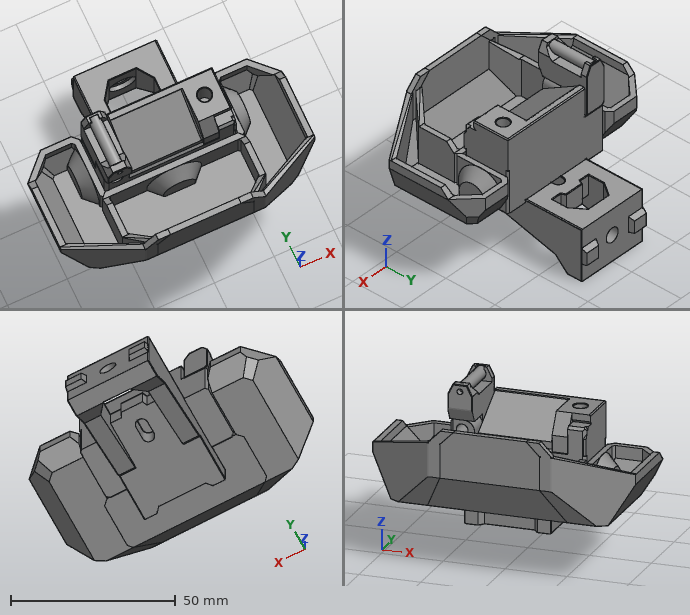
import cadquery as cq
import math

REACH = 200.0

HOUSING_HALF = 22.0
HOUSING_DEPTH = 18.0
HOUSING_BOTTOM = 18.8
SHOULDER_Z = 36.0
HOUSING_TOP = 47.2
TOWER_LEFT = -13.1
CORNER_CHAMFER = 1.1
BACK_CHAMFER = 0.8
TOP_CHAMFER = 0.4
PANEL_BACK = 2.3
TOWER_FRONT = 17.2
PANEL_LOW_Z = 38.2
PANEL_BEVEL = 0.5
PANEL_STEP = 0.4
POST_FRONT = 17.8
POST_LEFT = 11.0
POST_FLAT = 14.0
POST_SLOPE = math.radians(60)
CATCH_LEFT = 16.1
CATCH_TOP = 44.1
SEAM_CHAMFER = 0.9
SCREW_X = 16.3
SCREW_Y = -7.0
SCREW_D = 4.4
SCREW_DEPTH = 10.0
SCREW_CHAMFER = 0.25

LUG_BACK = 10.8
LUG_WIDTH = 8.0
LUG_HOLE_D = 3.8
LUG_ROUND = 3.3
LUG_CHAMFER = 1.0
HINGE_X = -HOUSING_HALF + LUG_WIDTH / 2
HINGE_Z = 38.8
LUG_TOP = 42.0
LATCH_TOP = 54.0
LATCH_CHAMFER = 0.25
LATCH_FRONT = 20.0
LATCH_FRONT_LOW_Z = 46.0
EAR_SIDE_Z = 50.6
EAR_TOP_HALF = 2.3
BACK_EAR = 2.4
SLOT_FLOOR = 49.5
SLOT_FRONT = 14.1
SLOT_SLOPE_END = 17.5
ROLLER_R = 2.0
ROLLER_Z = 51.8
ROLLER_FRONT = 17.6
ROLLER_BACK = 0.85
MOUTH_HALF = 1.35
EAR_HOLE_D = 1.8

BRACKET_HALF = 14.0
BRACKET_BACK = 22.8
BRACKET_FRONT = -26.9
BRACKET_TOP = 19.8
PLATE_BOTTOM = 12.1
PLATE_END_Y = -10.8
RAMP_TOP_Y = -10.0
RAMP_TOP_Z = 10.9
HEEL_Y = 12.0
HEEL_Z = 5.0
EDGE_CHAMFER = 0.25
WINDOW_HALF = 8.2
WINDOW_BACK = 17.1
WINDOW_CORNER_Y = 12.0
WINDOW_BACK_HALF = 4.6
WINDOW_FRONT = 5.8
TONGUE_ROOT_HALF = 4.4
TONGUE_TIP_HALF = 3.7
TONGUE_LENGTH = 1.6
PLATE_SLOT_R = 1.95
PLATE_SLOT_BACK = 2.8
PLATE_SLOT_LENGTH = 8.0
BOLT_Z = 10.0
BOLT_D = 5.4
BOLT_SEAT_D = 8.9
BOLT_SEAT_DEPTH = 1.5
TAB_LENGTH = 1.8
TAB_INNER = 7.4
TAB_TAPER = 0.8
TAB_OUTER_TAPER = 0.4
TAB_BOTTOM = 6.9
TAB_TOP = 12.8
TAB_TOP_BEVEL = 1.2
FRONT_RECESS_HALF = 8.1
FRONT_RECESS_FLARE = 1.5
FRONT_RECESS_DEPTH = TAB_LENGTH

WALL = 2.0
DRAFT = math.tan(math.radians(30))
CUP_GAP = 0.2
CUP_BOTTOM = 20.0
CUP_HALF = 42.5
CUP_BACK = 2.0
CUP_FRONT = -43.0
CUP_CORNER = 8.0
FRONT_FLAT_HALF = 20.2
SIDE_FRONT_Y = -30.1
SIDE_KNEE_Z = 32.8
BACK_KNEE_Z = 28.4
FRONT_KNEE_Z = 32.0
CORNER_KNEE_Z = 26.0
CORNER_BEVEL = 6.46
RIM_Z = 33.0
SIDE_RIM_Z = 36.0
FRONT_RIM_Z = 42.9
CUP_TOP = HOUSING_TOP
RIM_STEP = SIDE_RIM_Z - RIM_Z
FRONT_STEP = CUP_TOP - FRONT_RIM_Z
MID_SIDE = 24.0
MID_CORNER_Y = -34.6
MID_FRONT_HALF = 16.1
SIDE_RIM_RISE_Y = -29.3
MID_RIM_RISE_Y = -34.4
SIDE_LEAN = 0.45
FRONT_CORNER_CUT = 0.5
FRONT_CORNER_SLOPE = math.tan(math.radians(15))
POCKET_CORNER = 0.8
WALL_END_BEVEL = 1.5
BOSS_Z = 24.0
BOSS_R = 9.2
BOSS_TIP_R = 5.4
BOSS_HEIGHT = 4.0

INNER_SIDE = HOUSING_HALF + CUP_GAP
INNER_FRONT = -HOUSING_DEPTH - CUP_GAP


def box(x0, x1, y0, y1, z0, z1):
    """Box between two opposite corners."""
    return cq.Workplane("XY").box(x1 - x0, y1 - y0, z1 - z0, centered=False).translate((x0, y0, z0))


def prism_x(points, x0, x1):
    """Prism along X with a (Y, Z) outline."""
    return cq.Workplane("YZ").workplane(offset=x0).polyline(points).close().extrude(x1 - x0)


def prism_y(points, y0, y1):
    """Prism along Y with an (X, Z) outline."""
    return cq.Workplane("XZ").workplane(offset=-y1).polyline(points).close().extrude(y1 - y0)


def prism_z(points, z0, z1):
    """Prism along Z with an (X, Y) outline."""
    return cq.Workplane("XY").workplane(offset=z0).polyline(points).close().extrude(z1 - z0)


def rod_y(x, z, radius, y0, y1):
    """Cylinder along Y."""
    return cq.Workplane("XZ").workplane(offset=-y1).center(x, z).circle(radius).extrude(y1 - y0)


def mirrored(points):
    """Closes a half outline with its mirror image across the first coordinate."""
    return points + [(-a, b) for a, b in reversed(points)]


def tray_hull(inset, lean=0.0):
    """Space of the three cups together, every outside face moved inward by `inset`.

    The side faces lean inward by `lean` between the rim and the knee.
    """
    plan = mirrored([
        (-FRONT_FLAT_HALF + FRONT_CORNER_CUT, CUP_FRONT),
        (-FRONT_FLAT_HALF, CUP_FRONT + FRONT_CORNER_CUT * FRONT_CORNER_SLOPE),
        (-CUP_HALF, SIDE_FRONT_Y),
        (-CUP_HALF, CUP_BACK - CUP_CORNER),
        (-CUP_HALF + CUP_CORNER, CUP_BACK),
    ])
    across = mirrored([
        (-CUP_HALF + lean + DRAFT * (SIDE_KNEE_Z - CUP_BOTTOM), CUP_BOTTOM),
        (-CUP_HALF + lean, SIDE_KNEE_Z),
        (-CUP_HALF, SIDE_RIM_Z),
        (-CUP_HALF, REACH),
    ])
    along = [
        (CUP_FRONT + DRAFT * (FRONT_KNEE_Z - CUP_BOTTOM), CUP_BOTTOM),
        (CUP_FRONT, FRONT_KNEE_Z),
        (CUP_FRONT, REACH),
        (CUP_BACK, REACH),
        (CUP_BACK, BACK_KNEE_Z),
        (CUP_BACK - DRAFT * (BACK_KNEE_Z - CUP_BOTTOM), CUP_BOTTOM),
    ]
    hull = cq.Workplane("XY").polyline(plan).close().offset2D(-inset, "intersection").extrude(REACH)
    for plane, outline in (("XZ", across), ("YZ", along)):
        trim = cq.Workplane(plane).polyline(outline).close().offset2D(-inset, "intersection")
        hull = hull.intersect(trim.extrude(REACH, both=True))
    for side in (-1, 1):
        hull = hull.cut(corner_bevel(side, inset))
    return hull


def corner_bevel(side, inset):
    """Wedge below the knee of a rear corner; its section lies across the 45 degree corner face."""
    drop = CORNER_KNEE_Z - CUP_BOTTOM
    run = CORNER_BEVEL / math.sqrt(2)
    shift = inset * math.hypot(run, drop) / drop
    low_z = CORNER_KNEE_Z - 2 * drop
    wedge = [(-2 * run - shift, low_z), (REACH, low_z), (REACH, CORNER_KNEE_Z + (REACH + shift) * drop / run)]
    corner = cq.Plane(
        origin=(side * CUP_HALF, CUP_BACK - CUP_CORNER, 0), xDir=(side, 1, 0), normal=(1, -side, 0))
    return cq.Workplane(corner).polyline(wedge).close().extrude(REACH, both=True)


def middle_zone(inset):
    """Plan of the middle cup as a tall prism, moved inward by `inset`."""
    plan = mirrored([
        (-INNER_SIDE, INNER_FRONT),
        (-MID_SIDE, INNER_FRONT - (MID_SIDE - INNER_SIDE)),
        (-MID_SIDE, MID_CORNER_Y),
        (-MID_FRONT_HALF, CUP_FRONT),
    ])
    return cq.Workplane("XY").polyline(plan).close().offset2D(-inset, "intersection").extrude(REACH)


def boss():
    """Cone on the XY plane, pointing along +Z."""
    return (cq.Workplane("XY").circle(BOSS_R)
            .workplane(offset=BOSS_HEIGHT).circle(BOSS_TIP_R).loft())


def rim(step_y, rise_y):
    """Space under the rim: low at the back, a step at `step_y`, and a rise from `rise_y` to the front."""
    outline = [
        (REACH, 0), (REACH, RIM_Z), (step_y, RIM_Z), (step_y - RIM_STEP, SIDE_RIM_Z),
        (rise_y, SIDE_RIM_Z), (CUP_FRONT + WALL, FRONT_RIM_Z),
        (CUP_FRONT + WALL, CUP_TOP), (CUP_FRONT, CUP_TOP), (CUP_FRONT, 0),
    ]
    return prism_x(outline, -REACH, REACH)


def middle_cup():
    shell = tray_hull(0).intersect(middle_zone(0))
    shell = shell.cut(tray_hull(WALL, SIDE_LEAN).intersect(middle_zone(WALL)))
    cone = boss().rotate((0, 0, 0), (1, 0, 0), 90).translate((0, INNER_FRONT - WALL, BOSS_Z))
    shell = shell.union(cone.intersect(tray_hull(0)))
    front = mirrored([
        (-MID_SIDE, 0), (-MID_SIDE, SIDE_RIM_Z), (-MID_FRONT_HALF, FRONT_RIM_Z),
        (-MID_FRONT_HALF + FRONT_STEP, CUP_TOP),
    ])
    return shell.intersect(rim(INNER_FRONT - WALL, MID_RIM_RISE_Y)).intersect(prism_y(front, CUP_FRONT, 0))


def side_cup(side):
    """Outer cup; built on the -X side and mirrored for the +X side."""
    zone = prism_z([
        (-REACH, CUP_FRONT), (-REACH, CUP_BACK), (-INNER_SIDE - WALL, CUP_BACK),
        (-INNER_SIDE, CUP_BACK - WALL), (-INNER_SIDE, INNER_FRONT), (0, INNER_FRONT), (0, CUP_FRONT),
    ], 0, REACH).cut(middle_zone(0))
    shell = tray_hull(0).intersect(zone)
    pocket = tray_hull(WALL, SIDE_LEAN).cut(middle_zone(0))
    wall_face = -INNER_SIDE - WALL
    wall_room = prism_z([
        (0, CUP_BACK), (wall_face - POCKET_CORNER, CUP_BACK), (wall_face - POCKET_CORNER, CUP_BACK - WALL),
        (wall_face, CUP_BACK - WALL - POCKET_CORNER), (wall_face, INNER_FRONT - WALL + WALL_END_BEVEL),
        (wall_face + WALL_END_BEVEL, INNER_FRONT - WALL), (0, INNER_FRONT - WALL),
    ], 0, REACH)
    far_side = box(0, REACH, -REACH, REACH, 0, REACH)
    shell = shell.cut(pocket.cut(wall_room).cut(far_side))
    cone = boss().rotate((0, 0, 0), (0, 1, 0), -90)
    cone = cone.translate((wall_face, -HOUSING_DEPTH / 2, BOSS_Z))
    shell = shell.union(cone.intersect(tray_hull(0)))

    front = [(-CUP_HALF, 0), (-CUP_HALF, SIDE_RIM_Z), (-FRONT_FLAT_HALF, FRONT_RIM_Z),
             (0, FRONT_RIM_Z), (0, 0)]
    shell = shell.intersect(rim(CUP_BACK - CUP_CORNER, SIDE_RIM_RISE_Y))
    shell = shell.intersect(prism_y(front, CUP_FRONT, CUP_BACK))
    shell = shell.cut(box(wall_face, 0, INNER_FRONT - WALL, CUP_BACK, RIM_Z, REACH))
    ear = prism_y([
        (-FRONT_FLAT_HALF, FRONT_RIM_Z), (-MID_FRONT_HALF, FRONT_RIM_Z),
        (-MID_FRONT_HALF + FRONT_STEP, CUP_TOP), (-FRONT_FLAT_HALF + FRONT_STEP, CUP_TOP),
    ], CUP_FRONT, CUP_FRONT + WALL)
    cup = shell.union(ear)
    return cup if side < 0 else cup.mirror("YZ")


def bracket_body():
    """Side outline across the full width, with broken edges."""
    outline = [
        (BRACKET_BACK, 0), (BRACKET_BACK, BRACKET_TOP), (BRACKET_FRONT, BRACKET_TOP),
        (BRACKET_FRONT, PLATE_BOTTOM), (PLATE_END_Y, PLATE_BOTTOM), (RAMP_TOP_Y, RAMP_TOP_Z),
        (HEEL_Y, HEEL_Z), (HEEL_Y + HEEL_Z, 0),
    ]
    body = prism_x(outline, -BRACKET_HALF, BRACKET_HALF)
    return body.faces("<X or >X").edges().chamfer(EDGE_CHAMFER)


def bracket_window():
    """Window through the plate, and the open channel under the plate in front of it."""
    back = [(-WINDOW_HALF, WINDOW_CORNER_Y), (-WINDOW_BACK_HALF, WINDOW_BACK)]
    window = prism_z(mirrored([
        (-TONGUE_TIP_HALF, WINDOW_FRONT + TONGUE_LENGTH), (-TONGUE_ROOT_HALF, WINDOW_FRONT),
        (-WINDOW_HALF, WINDOW_FRONT),
    ] + back), 0, BRACKET_TOP)
    channel = prism_z(mirrored([(-WINDOW_HALF, BRACKET_FRONT)] + back), 0, PLATE_BOTTOM)
    return window.union(channel)


def bracket_tab(side):
    """Tapered hook on the back face."""
    root = BRACKET_BACK
    tip = BRACKET_BACK + TAB_LENGTH
    plan = prism_z([
        (side * TAB_INNER, root), (side * (TAB_INNER + TAB_TAPER), tip),
        (side * (BRACKET_HALF - TAB_OUTER_TAPER), tip), (side * BRACKET_HALF, root),
    ], 0, BRACKET_TOP)
    profile = [(root, TAB_BOTTOM), (tip, TAB_BOTTOM), (tip, TAB_TOP - TAB_TOP_BEVEL), (root, TAB_TOP)]
    return plan.intersect(prism_x(profile, -BRACKET_HALF, BRACKET_HALF))


def make_bracket():
    body = bracket_body().cut(bracket_window())
    body = body.cut(rod_y(0, BOLT_Z, BOLT_D / 2, WINDOW_BACK, BRACKET_BACK))
    body = body.cut(rod_y(0, BOLT_Z, BOLT_SEAT_D / 2, WINDOW_BACK, WINDOW_BACK + BOLT_SEAT_DEPTH))
    slot = (cq.Workplane("XY").center(0, PLATE_SLOT_BACK - PLATE_SLOT_LENGTH / 2)
            .slot2D(PLATE_SLOT_LENGTH, 2 * PLATE_SLOT_R, 90).extrude(BRACKET_TOP))
    body = body.cut(slot)
    recess = prism_z(mirrored([
        (-FRONT_RECESS_HALF - FRONT_RECESS_FLARE, BRACKET_FRONT),
        (-FRONT_RECESS_HALF, BRACKET_FRONT + FRONT_RECESS_DEPTH),
    ]), 0, BRACKET_TOP)
    body = body.faces(">Z").edges("not(<Y or >Y)").chamfer(EDGE_CHAMFER)
    body = body.cut(recess)
    for side in (-1, 1):
        body = body.union(bracket_tab(side))
    return body


def housing_base():
    """Block over the bracket, with the hinge lug and the catch on it and beveled upright corners."""
    base = box(-HOUSING_HALF, HOUSING_HALF, -HOUSING_DEPTH, 0, HOUSING_BOTTOM, SHOULDER_Z)
    base = base.faces(">Z").edges("<X or <Y").chamfer(SEAM_CHAMFER)
    base = base.union(catch()).union(hinge_lug())
    base = base.intersect(prism_z(mirrored([
        (-HOUSING_HALF + CORNER_CHAMFER, -HOUSING_DEPTH),
        (-HOUSING_HALF, -HOUSING_DEPTH + CORNER_CHAMFER),
        (-HOUSING_HALF, -BACK_CHAMFER),
        (-HOUSING_HALF + BACK_CHAMFER, 0),
    ]), 0, REACH))
    return base.cut(box(-BRACKET_HALF, BRACKET_HALF, -HOUSING_DEPTH, 0, 0, BRACKET_TOP))


def housing_tower():
    """Sloped panel, with the post for the screw to its right."""
    foot = SHOULDER_Z - SEAM_CHAMFER
    panel = prism_x([
        (0, foot), (0, HOUSING_TOP), (-PANEL_BACK, HOUSING_TOP), (-PANEL_BACK, HOUSING_TOP - PANEL_STEP),
        (-TOWER_FRONT, PANEL_LOW_Z), (-TOWER_FRONT, foot),
    ], TOWER_LEFT, POST_LEFT)
    drop = (POST_FRONT - POST_FLAT) * math.tan(POST_SLOPE)
    post = prism_x([
        (0, foot), (0, HOUSING_TOP), (-POST_FLAT, HOUSING_TOP),
        (-POST_FRONT, HOUSING_TOP - drop), (-POST_FRONT, foot),
    ], POST_LEFT, HOUSING_HALF)
    tower = panel.union(post)
    tower = tower.faces(">Z").edges(">Y or >X").chamfer(TOP_CHAMFER)
    return tower.union(panel_bevel())


def panel_bevel():
    """Narrow bevel in the corner between the panel and the post."""
    run = TOWER_FRONT - PANEL_BACK
    drop = HOUSING_TOP - PANEL_STEP - PANEL_LOW_Z
    top_end = (POST_LEFT, -PANEL_BACK, HOUSING_TOP - PANEL_STEP)
    along = cq.Plane(origin=top_end, xDir=(1, 0, 0), normal=(0, run, drop))
    bevel = (cq.Workplane(along).polyline([(0, 0), (-PANEL_BEVEL, 0), (0, -PANEL_BEVEL)]).close()
             .extrude(-math.hypot(run, drop)))
    return bevel.intersect(box(0, POST_LEFT, -TOWER_FRONT, -PANEL_BACK, 0, HOUSING_TOP))


def catch():
    """Block in front of the post on the right."""
    block = box(CATCH_LEFT, HOUSING_HALF, -HOUSING_DEPTH, -LUG_BACK, HOUSING_BOTTOM, CATCH_TOP)
    return block.faces(">Z").edges("<Y or >X").chamfer(SEAM_CHAMFER)


def catch_room():
    """Space over the catch, with a bevel under the post where the two meet."""
    bevel_top = CATCH_TOP + SEAM_CHAMFER
    return prism_x([
        (-HOUSING_DEPTH, CATCH_TOP), (-POST_FLAT + SEAM_CHAMFER, CATCH_TOP), (-POST_FLAT, bevel_top),
        (-POST_FLAT, HOUSING_TOP), (-HOUSING_DEPTH, HOUSING_TOP),
    ], CATCH_LEFT, HOUSING_HALF)


def hinge_lug():
    """Lug on the left with a rounded inside corner."""
    left = -HOUSING_HALF
    lug = box(left, left + LUG_WIDTH, -HOUSING_DEPTH, -LUG_BACK, HOUSING_BOTTOM, LUG_TOP)
    lug = lug.faces(">Z").edges("<X").chamfer(LUG_CHAMFER)
    return lug.faces(">Z").edges(">X").fillet(LUG_ROUND)


def make_housing():
    tower = housing_tower().cut(catch_room())
    body = housing_base().union(tower)
    body = body.cut(rod_y(HINGE_X, HINGE_Z, LUG_HOLE_D / 2, -HOUSING_DEPTH, -LUG_BACK))
    screw = (cq.Workplane("XY").workplane(offset=HOUSING_TOP).center(SCREW_X, SCREW_Y)
             .circle(SCREW_D / 2).extrude(-SCREW_DEPTH))
    rim_edge = cq.Workplane("XY").add(cq.Solid.makeCone(
        SCREW_D / 2, SCREW_D / 2 + SCREW_CHAMFER, SCREW_CHAMFER,
        cq.Vector(SCREW_X, SCREW_Y, HOUSING_TOP - SCREW_CHAMFER)))
    return body.cut(screw).cut(rim_edge)


def roller_shape():
    """Plain roller held between the ears of the latch."""
    return rod_y(HINGE_X, ROLLER_Z, ROLLER_R, -ROLLER_FRONT, -ROLLER_BACK)


def make_latch():
    side_outline = prism_x([
        (0, SHOULDER_Z), (0, LATCH_TOP), (-LATCH_FRONT, LATCH_TOP), (-LATCH_FRONT, LATCH_FRONT_LOW_Z),
        (-HOUSING_DEPTH, LUG_TOP), (-LUG_BACK, LUG_TOP), (-LUG_BACK, SHOULDER_Z),
    ], -HOUSING_HALF, -HOUSING_HALF + LUG_WIDTH)
    half = LUG_WIDTH / 2
    front_outline = prism_y([
        (HINGE_X - half + SEAM_CHAMFER, SHOULDER_Z), (HINGE_X - half, SHOULDER_Z + SEAM_CHAMFER),
        (HINGE_X - half, EAR_SIDE_Z), (HINGE_X - EAR_TOP_HALF, LATCH_TOP),
        (HINGE_X + EAR_TOP_HALF, LATCH_TOP), (HINGE_X + half, EAR_SIDE_Z), (HINGE_X + half, SHOULDER_Z),
    ], -LATCH_FRONT, 0)
    slot_rise = SLOT_SLOPE_END - SLOT_FRONT
    slot = prism_x([
        (-BACK_EAR, LATCH_TOP), (-BACK_EAR, SLOT_FLOOR), (-SLOT_FRONT, SLOT_FLOOR),
        (-SLOT_SLOPE_END, SLOT_FLOOR + slot_rise), (-SLOT_SLOPE_END, LATCH_TOP),
    ], -REACH, 0)
    latch = side_outline.intersect(front_outline)
    latch = latch.faces("<Y or >Y").edges().chamfer(LATCH_CHAMFER)
    mouth = box(HINGE_X - MOUTH_HALF, HINGE_X + MOUTH_HALF, -BACK_EAR, -ROLLER_BACK, ROLLER_Z, LATCH_TOP)
    latch = latch.cut(slot).cut(mouth).cut(roller_shape())
    return latch.cut(rod_y(HINGE_X, ROLLER_Z, EAR_HOLE_D / 2, -LATCH_FRONT, -ROLLER_FRONT))


bracket = make_bracket()
housing = make_housing()
latch = make_latch()
roller = roller_shape()
front_cup = middle_cup()
side_cups = [side_cup(side) for side in (-1, 1)]

bodies = [bracket, housing, latch, roller, front_cup] + side_cups
result = cq.Compound.makeCompound([body.solids().val() for body in bodies])